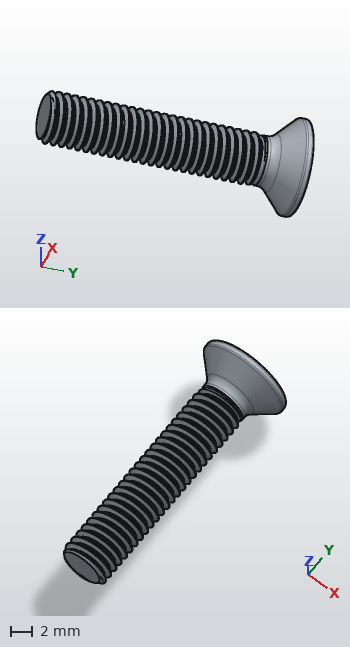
import cadquery as cq
import math

length = 25.0

head_radius = 4.65
rim_height = 0.72
rim_top_fillet = 0.25
rim_lower_fillet = 0.25

neck_radius = 2.38
neck_fillet = 1.25
neck_end = length - 3.8

shoulder_radius = 2.28
shoulder_end = neck_end - 0.15

thread_radius = 2.5
pitch = 0.8
thread_depth = 0.48
crest_flat = pitch / 8
flank_angle = 30.0
root_radius = thread_radius - thread_depth
ridge_start = -0.85
ridge_turns = 29
ridge_embed = 0.05

tip_radius = 2.12
lead_in_slope = 3.0
trim_clearance_radius = thread_radius + 0.25


def fillet_offsets(radius):
    """Return a fillet's reach from a corner between cylinder and 45 degree cone.

    The first value is the reach along the cylinder; the second is the reach
    along the cone, resolved into its equal radial and axial parts.
    """
    reach = radius * math.tan(math.radians(45 / 2))
    return reach, reach * math.sin(math.radians(45))


def make_head_and_neck():
    """Revolve the head, the filleted neck and the shoulder taper down to the thread root."""
    rim_bottom = length - rim_height
    cone_end = rim_bottom - (head_radius - neck_radius)
    neck_reach, neck_slant = fillet_offsets(neck_fillet)
    rim_reach, rim_slant = fillet_offsets(rim_lower_fillet)
    taper_end = shoulder_end - (shoulder_radius - root_radius)
    return (
        cq.Workplane("XZ")
        .moveTo(0, taper_end)
        .lineTo(root_radius, taper_end)
        .lineTo(shoulder_radius, shoulder_end)
        .lineTo(neck_radius, neck_end)
        .lineTo(neck_radius, cone_end - neck_reach)
        .radiusArc((neck_radius + neck_slant, cone_end + neck_slant), neck_fillet)
        .lineTo(head_radius - rim_slant, rim_bottom - rim_slant)
        .radiusArc((head_radius, rim_bottom + rim_reach), -rim_lower_fillet)
        .lineTo(head_radius, length - rim_top_fillet)
        .radiusArc((head_radius - rim_top_fillet, length), -rim_top_fillet)
        .lineTo(0, length)
        .close()
        .revolve(360, (0, 0, 0), (0, 1, 0))
    )


def make_thread_ridge():
    """Sweep the trapezoidal ridge section along a right-handed helix, past both thread ends."""
    base_radius = root_radius - ridge_embed
    half_crest = crest_flat / 2
    half_base = half_crest + (thread_radius - base_radius) * math.tan(math.radians(flank_angle))
    helix = cq.Wire.makeHelix(pitch, ridge_turns * pitch, thread_radius).translate(cq.Vector(0, 0, ridge_start))
    return (
        cq.Workplane("XZ")
        .moveTo(base_radius, ridge_start - half_base)
        .lineTo(thread_radius, ridge_start - half_crest)
        .lineTo(thread_radius, ridge_start + half_crest)
        .lineTo(base_radius, ridge_start + half_base)
        .close()
        .sweep(cq.Workplane(helix), isFrenet=True)
        .rotate((0, 0, 0), (0, 0, 1), 180)
    )


def make_end_trim():
    """Revolve the envelope kept by the thread: 45 degree tip chamfer and shallow lead-in cone."""
    tip_cone_height = trim_clearance_radius - tip_radius
    lead_in_length = lead_in_slope * (trim_clearance_radius - shoulder_radius)
    return (
        cq.Workplane("XZ")
        .lineTo(tip_radius, 0)
        .lineTo(trim_clearance_radius, tip_cone_height)
        .lineTo(trim_clearance_radius, shoulder_end - lead_in_length)
        .lineTo(shoulder_radius, shoulder_end)
        .lineTo(0, shoulder_end)
        .close()
        .revolve(360, (0, 0, 0), (0, 1, 0))
    )


core = cq.Workplane("XY").circle(root_radius).extrude(shoulder_end)
thread = make_thread_ridge().intersect(make_end_trim())
screw = thread.union(core).union(make_head_and_neck())
result = screw.rotate((0, 0, 0), (1, 0, 0), -90)